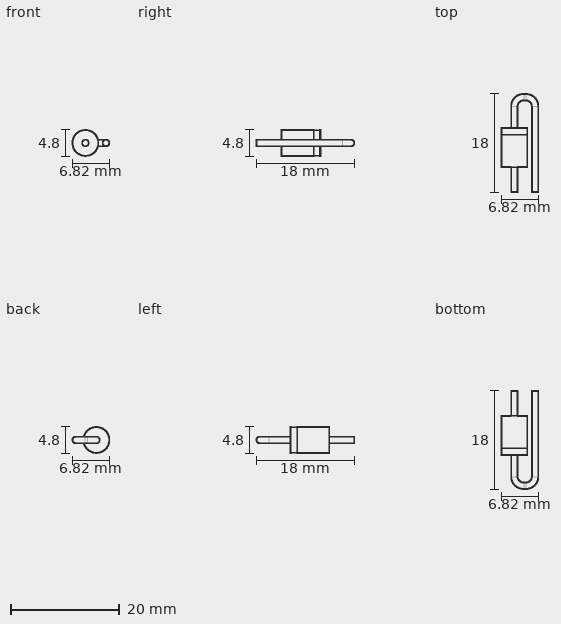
import cadquery as cq

body_diameter = 4.8
band_diameter = 4.76
lead_diameter = 1.23
lead_pitch = 3.8
overall_length = 18.04
body_start = 4.6
body_length = 7.2
band_length = 1.17
rim_length = 0.1
bend_radius = 1.68

body_end = body_start + body_length
band_end = body_end - rim_length
band_start = band_end - band_length
bend_top = overall_length - lead_diameter / 2
bend_start = bend_top - bend_radius
diagonal = bend_radius * 2 ** -0.5


def cylinder_along_y(diameter, start, end):
    profile = cq.Workplane("XZ", origin=(0, start, 0)).circle(diameter / 2)
    return profile.extrude(start - end)


def bent_lead():
    """Sweep the round wire through the body, around two corners and back."""
    far_centre_x = lead_pitch - bend_radius
    path = (
        cq.Workplane("XY")
        .lineTo(0, bend_start)
        .threePointArc((bend_radius - diagonal, bend_start + diagonal), (bend_radius, bend_top))
        .lineTo(far_centre_x, bend_top)
        .threePointArc((far_centre_x + diagonal, bend_start + diagonal), (lead_pitch, bend_start))
        .lineTo(lead_pitch, 0)
    )
    return cq.Workplane("XZ").circle(lead_diameter / 2).sweep(path)


body = cylinder_along_y(body_diameter, body_start, band_start)
band = cylinder_along_y(band_diameter, band_start, band_end)
rim = cylinder_along_y(body_diameter, band_end, body_end)

result = body.union(band).union(rim).union(bent_lead())